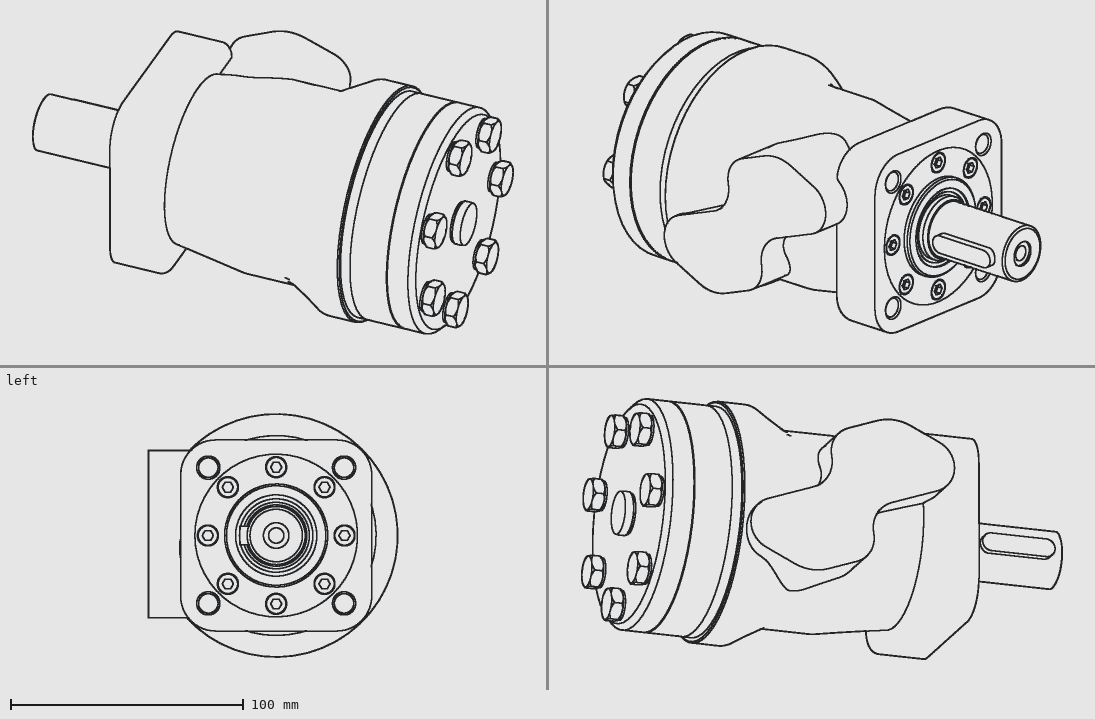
import cadquery as cq
import math


shaft_dia = 25.0
shaft_end_chamfer = 1.2
shoulder_x = 42.7
shoulder_start_dia = 26.4
shoulder_dia = 28.5
shoulder_cone_length = 1.8
center_hole_dia = 6.5
center_hole_depth = 16.0
center_recess_dia = 11.0
center_recess_depth = 1.0
drill_point_angle = 118.0

key_start_x = 4.8
key_length = 33.0
key_width = 8.0
key_top_y = 15.5
key_bottom_y = 8.4

cover_dia = 70.0
cover_depth = 12.0
boss_dia = 44.3
boss_height = 2.5
boss_chamfer = 0.8
seal_recess_dias = (35.0, 31.5)
seal_recess_step = 0.5
cover_screw_count = 8
cover_screw_circle_dia = 58.7
screw_recess_dia = 9.0
screw_recess_depth = 0.8
screw_head_dia = 8.4
screw_socket_corner_dia = 4.8
screw_socket_depth = 2.4

flange_x = 48.3
flange_size = 82.0
flange_thickness = 24.0
flange_corner_radius = 15.0
flange_rear_fillet = 3.5
mount_hole_count = 4
mount_hole_circle_dia = 82.5
mount_hole_dia = 8.4
mount_chamfer_dia = 10.0
mount_hole_depth = 18.0

neck_dia = 75.3
waist_x = 105.5
waist_dia = 85.9
belly_dia = 104.5
belly_slope = 30.0
belly_corner_x = 145.5
belly_blend_radius = 6.0
belly_end_x = 159.5
belly_edge_chamfer = 0.5
rear_dia = 100.0
housing_end_x = 163.8

port_top_y = 55.0
port_center = (110.7, 0.5)
port_crest_center = (92.7, 16.5)
port_crest_radius = 20.0
port_lobe_radius = 12.0
port_left_lobe_x = 76.3
port_right_lobe_x = 108.5
port_left_slope = 25.0
port_right_slope = 20.0
port_overhang = 11.0

gear_ring_end_x = 180.8
end_cover_front_chamfer = 0.4
end_cover_face_x = 193.4
end_cover_chamfer = 2.5
bolt_count = 7
bolt_circle_dia = 79.1
first_bolt_angle = -3.0
bolt_collar_dia = 13.0
bolt_collar_height = 1.0
bolt_head_flats = 13.4
bolt_head_chamfer = 1.0
bolt_head_turn = 48.0
bolt_end_x = 199.8
plug_neck_dia = 18.0
plug_neck_height = 1.0
plug_head_dia = 19.0
plug_end_x = 198.2
plug_edge_drop = 0.2
plug_edge_length = 1.2


def cylinder(start_x, end_x, dia):
    return cq.Workplane("YZ", origin=(start_x, 0, 0)).circle(dia / 2).extrude(end_x - start_x)


def drilled_hole(start_x, dia, depth, y=0, z=0):
    """Cutter for a blind hole along +X with a conical drill point."""
    point_length = dia / 2 / math.tan(math.radians(drill_point_angle / 2))
    outline = [
        (start_x, 0),
        (start_x, dia / 2),
        (start_x + depth, dia / 2),
        (start_x + depth + point_length, 0),
    ]
    hole = cq.Workplane("XY").polyline(outline).close().revolve(360, (0, 0, 0), (1, 0, 0))
    return hole.translate((0, y, z))


def circle_positions(circle_dia, count, first_angle=0.0):
    """(y, z) places spread evenly on a circle about the shaft axis."""
    places = []
    for i in range(count):
        angle = math.radians(first_angle + 360.0 * i / count)
        places.append((circle_dia / 2 * math.cos(angle), circle_dia / 2 * math.sin(angle)))
    return places


def on_circle(center, radius, angle):
    turn = math.radians(angle)
    return (center[0] + radius * math.cos(turn), center[1] + radius * math.sin(turn))


def make_key():
    middle_x = key_start_x + key_length / 2
    return (
        cq.Workplane("XZ", origin=(middle_x, key_bottom_y, 0))
        .slot2D(key_length, key_width)
        .extrude(key_bottom_y - key_top_y)
    )


def make_shaft(key):
    inner_end_x = flange_x + cover_depth
    outline = [
        (0, 0),
        (0, shaft_dia / 2 - shaft_end_chamfer),
        (shaft_end_chamfer / 2, shaft_dia / 2),
        (shoulder_x, shaft_dia / 2),
        (shoulder_x, shoulder_start_dia / 2),
        (shoulder_x + shoulder_cone_length, shoulder_dia / 2),
        (inner_end_x, shoulder_dia / 2),
        (inner_end_x, 0),
    ]
    shaft = cq.Workplane("XY").polyline(outline).close().revolve(360, (0, 0, 0), (1, 0, 0))
    shaft = shaft.cut(cylinder(0, center_recess_depth, center_recess_dia))
    shaft = shaft.cut(drilled_hole(0, center_hole_dia, center_hole_depth))
    return shaft.cut(key)


def make_front_cover():
    """Cover with its sealing boss and the heads of its socket screws."""
    boss_x = flange_x - boss_height
    boss = cylinder(boss_x, flange_x, boss_dia).faces("<X").chamfer(boss_chamfer)
    cover = cylinder(flange_x, flange_x + cover_depth, cover_dia).union(boss)
    cover = cover.cut(cylinder(boss_x, flange_x + cover_depth, shoulder_dia))
    for step, dia in enumerate(seal_recess_dias, start=1):
        cover = cover.cut(cylinder(boss_x, boss_x + step * seal_recess_step, dia))
    screw_places = circle_positions(cover_screw_circle_dia, cover_screw_count)
    face = cq.Workplane("YZ", origin=(flange_x, 0, 0)).pushPoints(screw_places)
    gap = face.circle(screw_recess_dia / 2).circle(screw_head_dia / 2).extrude(screw_recess_depth)
    sockets = face.polygon(6, screw_socket_corner_dia).extrude(screw_socket_depth)
    return cover.cut(gap).cut(sockets)


def make_flange():
    flange = (
        cq.Workplane("YZ", origin=(flange_x, 0, 0))
        .rect(flange_size, flange_size)
        .extrude(flange_thickness)
        .edges("|X")
        .fillet(flange_corner_radius)
    )
    return flange.faces(">X").edges().fillet(flange_rear_fillet)


def make_barrel():
    """Revolved barrel: neck cone, waist, blended belly cone and rear step."""
    waist_r = waist_dia / 2
    belly_r = belly_dia / 2
    slope = math.radians(belly_slope)
    waist_corner_x = belly_corner_x - (belly_r - waist_r) / math.tan(slope)
    reach = belly_blend_radius * math.tan(slope / 2)
    reach_x = reach * math.cos(slope)
    reach_r = reach * math.sin(slope)
    outline = (
        cq.Workplane("XY")
        .moveTo(flange_x + cover_depth, 0)
        .lineTo(flange_x + cover_depth, neck_dia / 2)
        .lineTo(flange_x + flange_thickness, neck_dia / 2)
        .lineTo(waist_x, waist_r)
        .lineTo(waist_corner_x - reach, waist_r)
        .tangentArcPoint((waist_corner_x + reach_x, waist_r + reach_r), relative=False)
        .lineTo(belly_corner_x - reach_x, belly_r - reach_r)
        .tangentArcPoint((belly_corner_x + reach, belly_r), relative=False)
        .lineTo(belly_end_x - belly_edge_chamfer, belly_r)
        .lineTo(belly_end_x, belly_r - belly_edge_chamfer)
        .lineTo(belly_end_x, rear_dia / 2)
        .lineTo(housing_end_x, rear_dia / 2)
        .lineTo(housing_end_x, 0)
        .close()
    )
    return outline.revolve(360, (0, 0, 0), (1, 0, 0))


def lobe_center(x, side_angle):
    """Centre, at the given x, of a lobe arc that shares a tangent line with the crest arc."""
    inset = port_crest_radius - port_lobe_radius
    base = on_circle(port_crest_center, inset, side_angle)
    return (x, base[1] - (x - base[0]) / math.tan(math.radians(side_angle)))


def half_turn(point):
    return (2 * port_center[0] - point[0], 2 * port_center[1] - point[1])


def make_port_block():
    left_normal = 90 + port_left_slope
    right_normal = 90 - port_right_slope
    lower_normal = right_normal + 180
    left = lobe_center(port_left_lobe_x, left_normal)
    right = lobe_center(port_right_lobe_x, right_normal)

    flank = on_circle(half_turn(left), port_lobe_radius, right_normal)
    normal = on_circle((0, 0), 1, right_normal)
    height = (right[0] - flank[0]) * normal[0] + (right[1] - flank[1]) * normal[1]
    lean = math.cos(math.radians(right_normal + port_overhang))
    hollow_radius = (height + port_lobe_radius * lean) / (1 - lean)
    hollow = on_circle(right, port_lobe_radius + hollow_radius, -port_overhang)

    half_arcs = [
        (left, port_lobe_radius, lower_normal, left_normal),
        (port_crest_center, port_crest_radius, left_normal, right_normal),
        (right, port_lobe_radius, right_normal, -port_overhang),
        (hollow, hollow_radius, 180 - port_overhang, lower_normal),
    ]
    arcs = list(half_arcs)
    for center, radius, start, end in half_arcs:
        arcs.append((half_turn(center), radius, start + 180, end + 180))

    outline = cq.Workplane("XZ").moveTo(*on_circle(left, port_lobe_radius, lower_normal))
    for index, (center, radius, start, end) in enumerate(arcs):
        arc_in_half = index % len(half_arcs)
        follows_straight_flank = index > 0 and arc_in_half < len(half_arcs) - 1
        if follows_straight_flank:
            outline = outline.lineTo(*on_circle(center, radius, start))
        middle = on_circle(center, radius, (start + end) / 2)
        outline = outline.threePointArc(middle, on_circle(center, radius, end))
    return outline.close().extrude(-port_top_y)


def make_housing():
    housing = make_flange().union(make_barrel()).union(make_port_block())
    housing = housing.cut(cylinder(flange_x, flange_x + cover_depth, cover_dia))
    chamfer_depth = (mount_chamfer_dia - mount_hole_dia) / 2
    for y, z in circle_positions(mount_hole_circle_dia, mount_hole_count, first_angle=45.0):
        housing = housing.cut(drilled_hole(flange_x, mount_hole_dia, mount_hole_depth, y, z))
        entry = cq.Solid.makeCone(
            mount_chamfer_dia / 2,
            mount_hole_dia / 2,
            chamfer_depth,
            cq.Vector(flange_x, y, z),
            cq.Vector(1, 0, 0),
        )
        housing = housing.cut(cq.Workplane(entry))
    return housing


def make_gear_ring():
    return cylinder(housing_end_x, gear_ring_end_x, rear_dia)


def make_bolt_head():
    """Hexagon head with rounded-off corners and a collar, centred on the X axis."""
    head_x = end_cover_face_x + bolt_collar_height
    corner_dia = bolt_head_flats / math.cos(math.radians(30))
    hexagon = (
        cq.Workplane("YZ", origin=(head_x, 0, 0))
        .polygon(6, corner_dia)
        .extrude(bolt_end_x - head_x)
        .rotate((0, 0, 0), (1, 0, 0), bolt_head_turn)
    )
    envelope = cylinder(head_x, bolt_end_x, corner_dia).edges().chamfer(bolt_head_chamfer)
    return hexagon.intersect(envelope).union(cylinder(end_cover_face_x, head_x, bolt_collar_dia))


def make_plug():
    head_x = end_cover_face_x + plug_neck_height
    neck = cylinder(end_cover_face_x, head_x, plug_neck_dia)
    head = cylinder(head_x, plug_end_x, plug_head_dia)
    rim = plug_head_dia / 2
    outline = [
        (plug_end_x - plug_edge_length, rim),
        (plug_end_x, rim - plug_edge_drop),
        (plug_end_x, rim),
    ]
    edge_taper = cq.Workplane("XY").polyline(outline).close().revolve(360, (0, 0, 0), (1, 0, 0))
    return neck.union(head.cut(edge_taper))


def make_end_cover():
    """Rear cover together with its bolt heads and central plug."""
    cover = cylinder(gear_ring_end_x, end_cover_face_x, rear_dia)
    cover = cover.faces(">X").chamfer(end_cover_chamfer)
    cover = cover.faces("<X").chamfer(end_cover_front_chamfer)
    cover = cover.union(make_plug())
    bolt_head = make_bolt_head()
    for y, z in circle_positions(bolt_circle_dia, bolt_count, first_bolt_angle):
        cover = cover.union(bolt_head.translate((0, y, z)))
    return cover


key = make_key()
shaft = make_shaft(key)
front_cover = make_front_cover()
housing = make_housing()
gear_ring = make_gear_ring()
end_cover = make_end_cover()

result = cq.Compound.makeCompound(
    [
        housing.val(),
        front_cover.val(),
        shaft.val(),
        key.val(),
        gear_ring.val(),
        end_cover.val(),
    ]
)